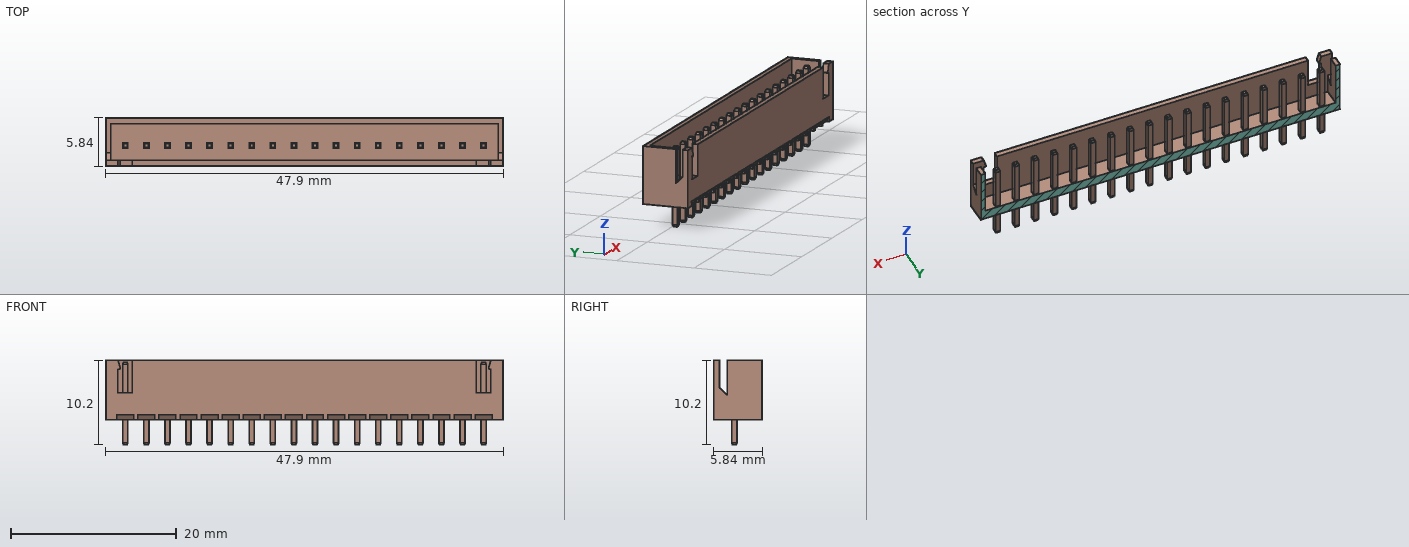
import cadquery as cq

LENGTH = 47.85
DEPTH = 5.84
HEIGHT = 7.2
OVERALL_HEIGHT = 10.21

END_WALL = 0.6
BACK_WALL = 0.7
FRONT_WALL = 0.7
FLOOR = 1.3

PIN_COUNT = 18
PITCH = 2.54
PIN_SIZE = 0.64
PIN_TIP_INSET = 0.11
PIN_TIP_HEIGHT = 0.27
PIN_TAIL = OVERALL_HEIGHT - HEIGHT
PIN_TOP = HEIGHT - 0.25
PIN_TO_FRONT = 2.49

WINDOW_MARGIN = 1.45
WINDOW_WIDTH = 1.75
WINDOW_DEPTH = 3.9

TOOTH_REACH = 0.3
TOOTH_PEAK_DEPTH = 1.0
TOOTH_HEIGHT = 1.15

SLOT_WIDTH = 0.9
SLOT_FRONT_DEPTH = 3.3
SLOT_BACK_DEPTH = SLOT_FRONT_DEPTH + SLOT_WIDTH

NOTCH_WIDTH = 2.04
NOTCH_HEIGHT = 0.6
NOTCH_DEPTH = 0.41

FRONT_Y = -PIN_TO_FRONT
BACK_Y = FRONT_Y + DEPTH
CAVITY_FRONT_Y = FRONT_Y + FRONT_WALL
HALF_LENGTH = LENGTH / 2
PIN_XS = [(i - (PIN_COUNT - 1) / 2) * PITCH for i in range(PIN_COUNT)]


def box_between(x_range, y_range, z_range):
    """Box spanning the given (low, high) range on each axis."""
    low, high = zip(x_range, y_range, z_range)
    size = [b - a for a, b in zip(low, high)]
    return cq.Workplane("XY").box(*size, centered=False).translate(low)


def make_shell():
    """Rectangular housing with an open cavity."""
    outer = box_between((-HALF_LENGTH, HALF_LENGTH), (FRONT_Y, BACK_Y), (0, HEIGHT))
    inner_half = HALF_LENGTH - END_WALL
    cavity = box_between(
        (-inner_half, inner_half), (CAVITY_FRONT_Y, BACK_Y - BACK_WALL), (FLOOR, HEIGHT)
    )
    return outer.cut(cavity)


def make_left_window():
    """Cutter for the left front window, leaving the latch tooth standing."""
    outer_x = -HALF_LENGTH + WINDOW_MARGIN
    inner_x = outer_x + WINDOW_WIDTH
    outline = [
        (outer_x, HEIGHT),
        (outer_x + TOOTH_REACH, HEIGHT - TOOTH_PEAK_DEPTH),
        (outer_x, HEIGHT - TOOTH_HEIGHT),
        (outer_x, HEIGHT - WINDOW_DEPTH),
        (inner_x, HEIGHT - WINDOW_DEPTH),
        (inner_x, HEIGHT),
    ]
    plane = cq.Workplane("XZ", origin=(0, FRONT_Y, 0))
    return plane.polyline(outline).close().extrude(-FRONT_WALL)


def make_end_slots():
    """Cutter running the full length: slots both end walls behind the front wall."""
    slot_back_y = CAVITY_FRONT_Y + SLOT_WIDTH
    outline = [
        (CAVITY_FRONT_Y, HEIGHT),
        (CAVITY_FRONT_Y, HEIGHT - SLOT_FRONT_DEPTH),
        (slot_back_y, HEIGHT - SLOT_BACK_DEPTH),
        (slot_back_y, HEIGHT),
    ]
    plane = cq.Workplane("YZ", origin=(-HALF_LENGTH, 0, 0))
    return plane.polyline(outline).close().extrude(LENGTH)


def make_notch(x):
    """Wedge cutter bevelling the lower front edge in front of the pin at x."""
    outline = [
        (FRONT_Y, 0),
        (FRONT_Y, NOTCH_HEIGHT),
        (FRONT_Y + NOTCH_DEPTH, 0),
    ]
    plane = cq.Workplane("YZ", origin=(x - NOTCH_WIDTH / 2, 0, 0))
    return plane.polyline(outline).close().extrude(NOTCH_WIDTH)


def make_pin_tip():
    """Tapered square tip standing on Z = 0 and pointing up."""
    tip_size = PIN_SIZE - 2 * PIN_TIP_INSET
    base = cq.Workplane("XY").rect(PIN_SIZE, PIN_SIZE)
    return base.workplane(offset=PIN_TIP_HEIGHT).rect(tip_size, tip_size).loft(ruled=True)


def make_pin():
    """Square pin at X = 0, tapered at both ends."""
    half = PIN_SIZE / 2
    shank_low = PIN_TIP_HEIGHT - PIN_TAIL
    shank_high = PIN_TOP - PIN_TIP_HEIGHT
    shank = box_between((-half, half), (-half, half), (shank_low, shank_high))
    tip = make_pin_tip()
    upper_tip = tip.translate((0, 0, shank_high))
    lower_tip = tip.mirror("XY").translate((0, 0, shank_low))
    return shank.union(upper_tip).union(lower_tip)


pin = make_pin()
left_window = make_left_window()
result = make_shell().cut(make_end_slots())
result = result.cut(left_window).cut(left_window.mirror("YZ"))
for pin_x in PIN_XS:
    result = result.cut(make_notch(pin_x))
    result = result.union(pin.translate((pin_x, 0, 0)))